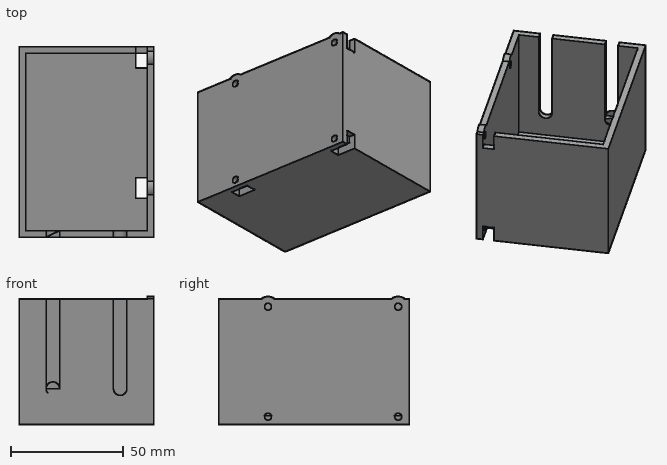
import cadquery as cq

length_x = 60.0
width_y = 85.0
wall_height = 56.0
wall = 3.0
floor_thickness = 4.0
inner_face_x = length_x - wall

pin_diameter = 3.1
pin_edge_distance = 3.5
lower_pin_z = pin_edge_distance
upper_pin_z = wall_height - pin_edge_distance
rear_pin_y = 80.0
front_pin_y = 22.0

overall_height = 57.1
knuckle_radius = overall_height - upper_pin_z

notch_depth_x = 5.0
notch_height = 2 * pin_edge_distance
notch_width_y = 9.0

slot_width = 6.0
slot_radius = slot_width / 2
slot_end_z = 16.0
arched_slot_x = 15.0
round_slot_x = 45.0
lip_thickness = 0.1


def block(x, y, z, size_x, size_y, size_z):
    """Box given by its lowest corner and its sizes."""
    return cq.Workplane("XY").box(size_x, size_y, size_z, centered=False).translate((x, y, z))


def cylinder_along_x(y, z, radius):
    """Cylinder through the thickness of the +X wall."""
    return cq.Workplane("YZ", origin=(inner_face_x, y, z)).circle(radius).extrude(wall)


def cylinder_along_y(x, z, radius, thickness):
    """Cylinder that starts at the outer -Y face and runs inward."""
    return cq.Workplane("XZ", origin=(x, thickness, z)).circle(radius).extrude(thickness)


def open_box():
    outer = block(0, 0, 0, length_x, width_y, wall_height)
    cavity_x = length_x - 2 * wall
    cavity_y = width_y - 2 * wall
    cavity = block(wall, wall, floor_thickness, cavity_x, cavity_y, wall_height - floor_thickness)
    return outer.cut(cavity)


def straight_slot(x):
    """Part of a slot from the rim down to the centre of its rounded end."""
    return block(x - slot_radius, 0, slot_end_z, slot_width, wall, wall_height - slot_end_z)


def round_slot(x):
    """Slot with a half-round bottom through the whole wall."""
    return straight_slot(x).union(cylinder_along_y(x, slot_end_z, slot_radius, wall))


def arched_slot(x):
    """Slot with a thin arched lip on the outside and a half-round hollow behind a diagonal ledge."""
    lip = cylinder_along_y(x, slot_end_z, slot_radius, lip_thickness)
    left_x = x - slot_radius
    right_x = x + slot_radius
    hollow_corner = (
        cq.Workplane("XY", origin=(0, 0, slot_end_z - slot_radius))
        .polyline([(left_x, lip_thickness), (right_x, wall), (left_x, wall)])
        .close()
        .extrude(slot_radius)
    )
    hollow = cylinder_along_y(x, slot_end_z, slot_radius, wall).intersect(hollow_corner)
    return straight_slot(x).cut(lip).union(hollow)


def notch(start_y, end_y, z):
    return block(inner_face_x - notch_depth_x, start_y, z, notch_depth_x, end_y - start_y, notch_height)


def notches():
    """Notches at both pin heights; the rear ones run out through the +Y wall."""
    front_start = front_pin_y - notch_width_y / 2
    front_end = front_pin_y + notch_width_y / 2
    rear_start = rear_pin_y - notch_width_y / 2
    cutters = cq.Workplane("XY")
    for z in (0, wall_height - notch_height):
        cutters = cutters.add(notch(front_start, front_end, z))
        cutters = cutters.add(notch(rear_start, width_y, z))
    return cutters.combine()


def add_knuckles_and_pins(body):
    for y in (front_pin_y, rear_pin_y):
        body = body.union(cylinder_along_x(y, upper_pin_z, knuckle_radius))
        for z in (lower_pin_z, upper_pin_z):
            body = body.cut(cylinder_along_x(y, z, pin_diameter / 2))
    return body


box = open_box().cut(notches())
slotted_box = box.cut(arched_slot(arched_slot_x)).cut(round_slot(round_slot_x))
result = add_knuckles_and_pins(slotted_box)